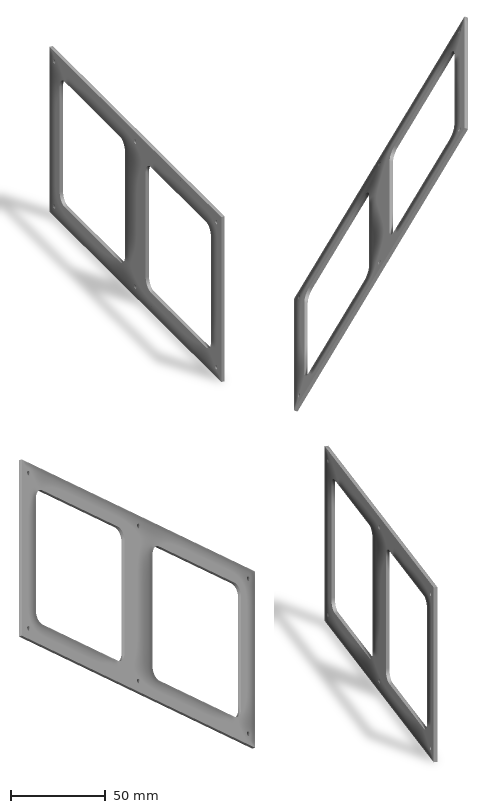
import cadquery as cq

plate_length = 206.0
plate_height = 100.0
plate_thickness = 2.0

window_width = 78.0
window_height = 76.0
window_spacing = 103.0
window_corner_radius = 6.0

hole_diameter = 2.5
hole_column_spacing = 97.0
hole_row_spacing = 88.0


def through_cutter(profile):
    """Extrude an XZ profile, centred on the plate, well past both faces."""
    return profile.extrude(plate_thickness, both=True)


plate = cq.Workplane("XZ").box(plate_length, plate_height, plate_thickness)

windows = through_cutter(
    cq.Workplane("XZ")
    .rarray(window_spacing, 2, 2, 1)
    .rect(window_width, window_height)
).edges("|Y").fillet(window_corner_radius)

screw_holes = through_cutter(
    cq.Workplane("XZ")
    .rarray(hole_column_spacing, hole_row_spacing, 3, 2)
    .circle(hole_diameter / 2)
)

result = plate.cut(windows).cut(screw_holes)